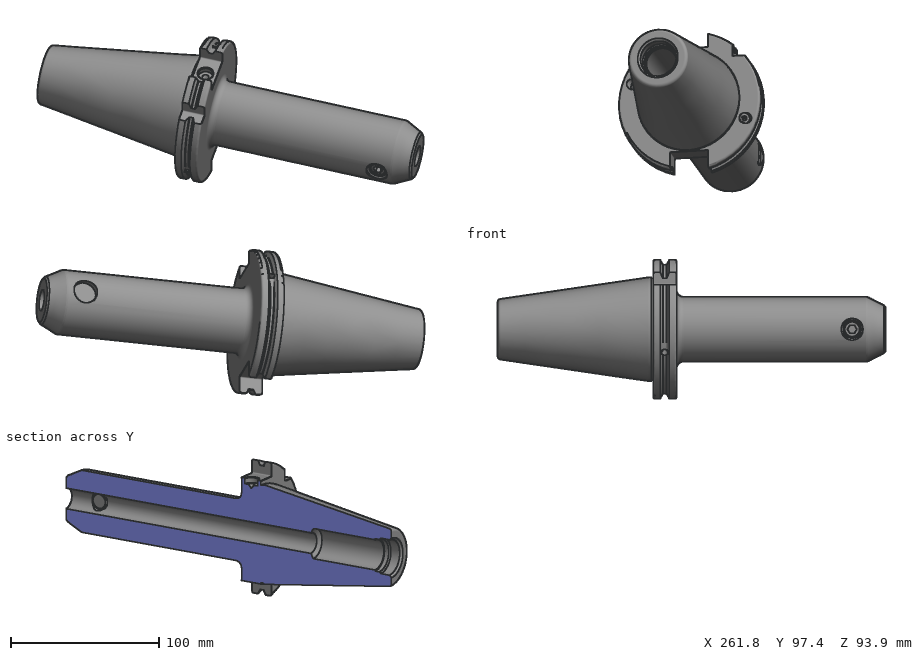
import cadquery as cq
import math


total_length = 261.8
taper_length = 101.8
flange_start = 105.0
flange_end = 121.0

gauge_radius = 35.0
taper_ratio = 7 / 48
taper_end_radius = gauge_radius - taper_length * taper_ratio
taper_end_round = 2.4
neck_radius = 34.5
neck_start = 103.7

flange_radius = 48.7
flange_fillet = 1.5
groove_center = 112.8
groove_floor_radius = 45.5
groove_floor_width = 2.5
groove_fillet = 0.5
groove_half_angle = 30
groove_depth = flange_radius - groove_floor_radius
groove_floor_half = groove_floor_width / 2
groove_top_half = groove_floor_half + groove_depth * math.tan(math.radians(groove_half_angle))

shank_radius = 22.0
shank_fillet = 4.5
nose_start = 249.2
nose_end_radius = 15.0
nose_slope = 0.5
nose_chamfer = 1.3
nose_fillet = 2.5

mouth_radius = 14.0
pilot_radius = 12.3
pilot_depth = 8.6
step_radius = 11.3
step_depth = 13.0
thread_radius = 10.5
thread_depth = 62.8
bore_radius = 7.0
tip_half_angle = 59
mouth_depth = mouth_radius - pilot_radius
lead_in_length = pilot_radius - step_radius
bore_cone_length = (thread_radius - bore_radius) / math.tan(math.radians(tip_half_angle))

slot_width = 26.0
slot_half_width = slot_width / 2
upper_slot_floor = 37.5
lower_slot_floor = 35.3
notch_y = -29.8
notch_floor = 30.0
cut_corner_fillet = 0.8
cut_chamfer = 0.3
cut_flare_angle = 45

slot_hole_radius = 5.0
slot_hole_chamfer = 0.5
slot_hole_depth = 4.0
slot_point_radius = 2.22
slot_point_depth = 2.4

coolant_angle = 20
coolant_mouth_offset = 41.4
coolant_tilt = 30
coolant_mouth_radius = 3.7
coolant_mouth_depth = 2.5
coolant_radius = 1.5
coolant_length = 15.7
cross_hole_radius = 2.0
cross_hole_depth = 13.0
mark_angle = 60
mark_radius = 1.5
mark_depth = 1.3

screw_x = 239.2
screw_radius = 6.0
screw_tip_y = -6.3
screw_head_y = -18.8
screw_chamfer = 1.0
socket_flats = 5.5
socket_depth = 5.2
socket_sides = 6
socket_corners = socket_flats / math.cos(math.pi / socket_sides)
screw_hole_mouth_radius = 7.3
screw_hole_mouth_y = -20.5
screw_hole_cone_length = 1.0

balance_x = 236.5
balance_radius = 8.0
balance_depth = 5.2

edge_margin = 0.13


def edges_near(x, half_length, radius):
    """Selector for the edges within half_length of x that lie inside the given radius."""
    reach = half_length + edge_margin
    side = radius + edge_margin
    return cq.selectors.BoxSelector((x - reach, -side, -side), (x + reach, side, side), boundingbox=True)


def outer_body():
    """Taper, neck, flange and shank turned as one piece around X."""
    nose_face_radius = shank_radius - nose_slope * (total_length - nose_chamfer - nose_start)
    profile = (
        cq.Workplane("XZ")
        .moveTo(0, 0)
        .lineTo(0, taper_end_radius)
        .lineTo(taper_length, gauge_radius)
        .lineTo(neck_start, gauge_radius)
        .lineTo(neck_start, neck_radius)
        .lineTo(flange_start, neck_radius)
        .lineTo(flange_start, flange_radius - flange_fillet)
        .radiusArc((flange_start + flange_fillet, flange_radius), flange_fillet)
        .lineTo(groove_center - groove_top_half, flange_radius)
        .lineTo(groove_center - groove_floor_half, groove_floor_radius)
        .lineTo(groove_center + groove_floor_half, groove_floor_radius)
        .lineTo(groove_center + groove_top_half, flange_radius)
        .lineTo(flange_end - flange_fillet, flange_radius)
        .radiusArc((flange_end, flange_radius - flange_fillet), flange_fillet)
        .lineTo(flange_end, shank_radius + shank_fillet)
        .radiusArc((flange_end + shank_fillet, shank_radius), -shank_fillet)
        .lineTo(nose_start, shank_radius)
        .lineTo(total_length - nose_chamfer, nose_face_radius)
        .lineTo(total_length, nose_end_radius)
        .lineTo(total_length, 0)
        .close()
    )
    turned = profile.revolve(360, (0, 0, 0), (1, 0, 0))
    groove_corners = turned.edges(edges_near(groove_center, groove_floor_half, groove_floor_radius))
    turned = groove_corners.fillet(groove_fillet)
    turned = turned.edges(edges_near(0, 0, taper_end_radius)).fillet(taper_end_round)
    return turned.edges(edges_near(nose_start, edge_margin, shank_radius)).fillet(nose_fillet)


def bore():
    """Stepped bore right through the holder."""
    profile = (
        cq.Workplane("XZ")
        .moveTo(0, 0)
        .lineTo(0, mouth_radius)
        .lineTo(mouth_depth, pilot_radius)
        .lineTo(pilot_depth, pilot_radius)
        .lineTo(pilot_depth + lead_in_length, step_radius)
        .lineTo(step_depth, step_radius)
        .lineTo(step_depth, thread_radius)
        .lineTo(thread_depth, thread_radius)
        .lineTo(thread_depth + bore_cone_length, bore_radius)
        .lineTo(total_length, bore_radius)
        .lineTo(total_length, 0)
        .close()
    )
    return profile.revolve(360, (0, 0, 0), (1, 0, 0))


def flange_cut(y_min, y_max, z_min, z_max):
    """Cut along X through the flange, with rounded inner corners and flared ends."""
    middle_length = flange_end - flange_start - 2 * cut_chamfer
    cutter = cq.Workplane("XY").box(middle_length, y_max - y_min, z_max - z_min, centered=False)
    cutter = cutter.edges("|X").fillet(cut_corner_fillet)
    for end in ("<X", ">X"):
        end_outline = cutter.faces(end).wires().toPending().workplane()
        cutter = end_outline.extrude(cut_chamfer, taper=-cut_flare_angle)
    return cutter.translate((flange_start + cut_chamfer, y_min, z_min))


def drill(start, direction, radius, depth):
    """Cylinder that runs from start along direction."""
    return cq.Workplane(cq.Solid.makeCylinder(radius, depth, cq.Vector(*start), cq.Vector(*direction)))


def slot_hole():
    """Blind hole in the floor of the upper slot, with a chamfered rim and a center point below."""
    profile = (
        cq.Workplane("XZ")
        .moveTo(0, 0)
        .lineTo(slot_hole_radius + slot_hole_chamfer, 0)
        .lineTo(slot_hole_radius, -slot_hole_chamfer)
        .lineTo(slot_hole_radius, -slot_hole_depth)
        .lineTo(slot_point_radius, -slot_hole_depth)
        .lineTo(0, -slot_hole_depth - slot_point_depth)
        .close()
    )
    return profile.revolve(360, (0, 0, 0), (0, 1, 0)).translate((groove_center, 0, upper_slot_floor))


def radial_hole(angle, radius, depth):
    """Hole in the groove floor towards the axis, at an angle from +Y to +Z."""
    y_part = math.cos(math.radians(angle))
    z_part = math.sin(math.radians(angle))
    start = (groove_center, flange_radius * y_part, flange_radius * z_part)
    return drill(start, (0, -y_part, -z_part), radius, groove_depth + depth)


def coolant_hole(angle):
    """Stepped hole in the flange face, tilted towards the axis, with its cross hole."""
    y_part = math.cos(math.radians(angle))
    z_part = math.sin(math.radians(angle))
    inward = math.sin(math.radians(coolant_tilt))
    direction = (math.cos(math.radians(coolant_tilt)), -inward * y_part, -inward * z_part)
    mouth = (flange_start, coolant_mouth_offset * y_part, coolant_mouth_offset * z_part)
    lead = coolant_mouth_radius * math.tan(math.radians(coolant_tilt))
    start = tuple(value - step * lead for value, step in zip(mouth, direction))
    wide = drill(start, direction, coolant_mouth_radius, lead + coolant_mouth_depth)
    narrow = drill(start, direction, coolant_radius, lead + coolant_length)
    return wide.union(narrow).union(radial_hole(angle, cross_hole_radius, cross_hole_depth))


def make_holder():
    """Turned body with its bore, flange cuts, and all its holes."""
    holder = outer_body().cut(bore())
    holder = holder.cut(flange_cut(-slot_half_width, slot_half_width, upper_slot_floor, flange_radius))
    holder = holder.cut(flange_cut(-slot_half_width, slot_half_width, -flange_radius, -lower_slot_floor))
    holder = holder.cut(flange_cut(-flange_radius, notch_y, notch_floor, flange_radius))
    holder = holder.cut(slot_hole())
    for angle in (coolant_angle, coolant_angle + 180):
        holder = holder.cut(coolant_hole(angle))
    holder = holder.cut(radial_hole(mark_angle, mark_radius, mark_depth))
    screw_axis_start = (screw_x, -shank_radius, 0)
    holder = holder.cut(drill(screw_axis_start, (0, 1, 0), screw_radius, shank_radius))
    mouth_length = shank_radius + screw_hole_mouth_y
    holder = holder.cut(drill(screw_axis_start, (0, 1, 0), screw_hole_mouth_radius, mouth_length))
    cone = cq.Solid.makeCone(
        screw_hole_mouth_radius,
        screw_radius,
        screw_hole_cone_length,
        cq.Vector(screw_x, screw_hole_mouth_y, 0),
        cq.Vector(0, 1, 0),
    )
    holder = holder.cut(cq.Workplane(cone))
    balance_start = (balance_x, shank_radius, 0)
    return holder.cut(drill(balance_start, (0, -1, 0), balance_radius, balance_depth))


def make_screw():
    """Hexagon socket set screw that points along +Y into the bore."""
    body = (
        cq.Workplane("XZ", origin=(screw_x, screw_tip_y, 0))
        .circle(screw_radius)
        .extrude(screw_tip_y - screw_head_y)
        .faces("<Y or >Y")
        .chamfer(screw_chamfer)
    )
    socket = (
        cq.Workplane("XZ", origin=(screw_x, screw_head_y + socket_depth, 0))
        .polygon(socket_sides, socket_corners)
        .extrude(socket_depth)
    )
    return body.cut(socket)


holder = make_holder()
screw = make_screw()
result = cq.Compound.makeCompound([holder.val(), screw.val()])